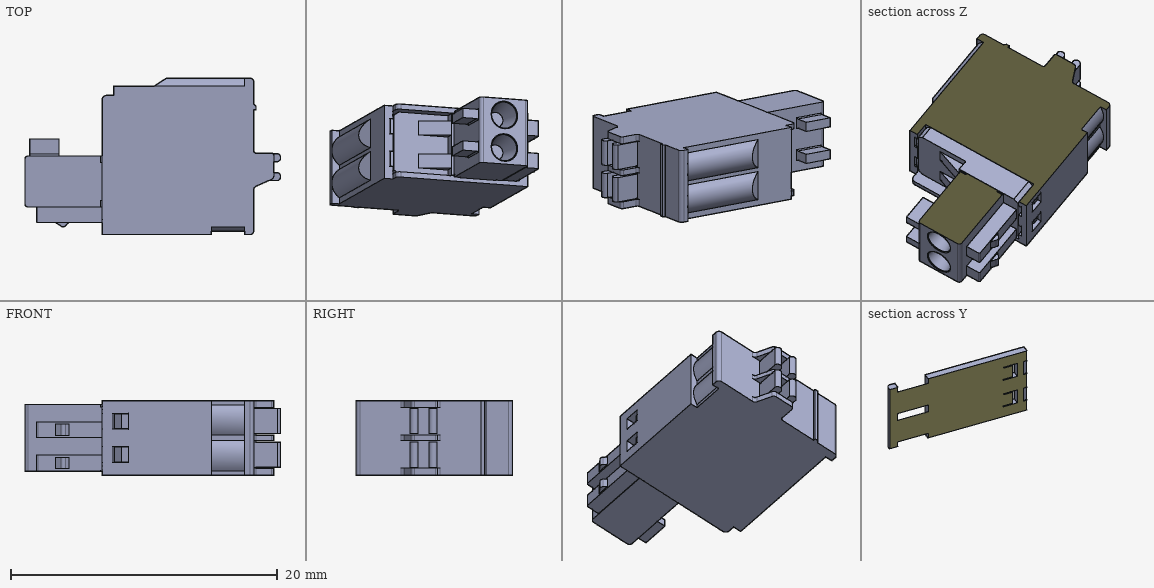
import cadquery as cq

LENGTH = 19.2
WIDTH = 11.75
HEIGHT = 5.6
POLE_PITCH = 2.5
MID_Z = HEIGHT / 2
POLE_Z = (MID_Z - POLE_PITCH / 2, MID_Z + POLE_PITCH / 2)

HOUSING_X0 = 5.8
HOUSING_X1 = 17.18
STEP_X = 6.66
STEP_Y = 10.46
WALL_TOP_Y = 11.15
FLANGE_X = 16.5
NOTCH_X = 14.0
NOTCH_Y = WIDTH - WALL_TOP_Y
STEP_RADIUS = 0.35
FLANGE_RADIUS = 0.29
RIDGE_FOOT_X = 9.7
RIDGE_CREST_X = 10.64
RIDGE_HALF_CHORD = 1.1
LOBE_HALF_CHORD = 1.13
LOBE_HEIGHT = 0.35
LOBE_PITCH = 2.67
NUB_Y0 = 9.37
NUB_Y1 = 9.77
NUB_HEIGHT = 0.17
NUB_CHAMFER = 0.13

CAVITY_DEPTH = 1.98
CAVITY_Y0 = 0.7
CAVITY_Z0 = 0.4
BODY_GAP = 0.08
BODY_Y0 = CAVITY_Y0 + BODY_GAP
BODY_Y1 = 10.37
BODY_Z0 = 0.45
BODY_STEP_Y = 6.09
BODY_CHAMFER_Y = 0.36
BODY_CHAMFER_Z = 0.25
WEDGE_Y = 8.4
WEDGE_WIDTH = 1.08
WEDGE_PITCH = 2.53

WINDOW_X0 = 6.6
WINDOW_X1 = HOUSING_X0 + CAVITY_DEPTH
WINDOW_WIDTH = 1.17
LEAD_IN_DEPTH = 0.23
CATCH_WIDTH = 1.1
CATCH_FOOT_X = 6.72
CATCH_CREST_X = 7.25
CATCH_CREST_Y = 0.3
TOP_SLOT_DEPTH = 0.25
TOP_SLOT_LENGTH = 0.58
TOP_CATCH_Y = 10.62
TOP_CATCH_SETBACK = 0.12

PLUG_Y0 = 2.07
PLUG_Y1 = 5.91
PLUG_HEIGHT = 5.03
PLUG_RADIUS = 0.25
PLUG_NOTCH = (0.12, 0.48, 0.21)
HOLE_RADIUS = 1.05
HOLE_CONE_RADIUS = 1.0
HOLE_END_RADIUS = 0.58
HOLE_DEPTH = 1.92
HOLE_LIP = HOLE_RADIUS - HOLE_CONE_RADIUS
LEVER_X0 = 0.36
LEVER_X1 = 2.57
LEVER_TOP_Y = 7.18
LEVER_WIDTH = 0.71
LEVER_FLARE_WIDTH = 0.85
LEVER_FLARE_HEIGHT = 0.15
ARM_X0 = 0.88
ARM_Y0 = 0.9
ARM_WIDTH = 1.17
ARM_DROP = 0.63
ARM_RADIUS = 0.12
BUMP_START = (2.3, ARM_Y0)
BUMP_ARC_START = (2.7, 0.65)
BUMP_CREST = (2.88, 0.58)
BUMP_ARC_END = (3.05, 0.67)
BUMP_END = (3.3, ARM_Y0)
BUMP_WIDTH = 0.85

RIB_X1 = 18.68
RIB_Y1 = 6.12
RIB_TIP_Y = 4.22
RIB_ROOT_Y = 3.55
RIB_RADIUS = 0.17
RIB_SLANT_RADIUS = 0.29
OUTER_RIB = 0.54
MIDDLE_RIB = 0.42
CONTACT_WIDTH = 1.9
CONTACT_PITCH = 2.53
CONTACT_Y = ((4.05, 4.67), (5.47, 6.09))
CONTACT_TIP_LENGTH = 0.23


def box(x0, x1, y0, y1, z0, z1):
    return cq.Workplane("XY").box(x1 - x0, y1 - y0, z1 - z0, centered=False).translate((x0, y0, z0))


def slab(points, z0, z1):
    """Extrude an XY outline from z0 to z1."""
    return cq.Workplane("XY").workplane(offset=z0).polyline(points).close().extrude(z1 - z0)


def bar(points, mid_z, width):
    """Extrude an XY outline symmetrically about mid_z."""
    return slab(points, mid_z - width / 2, mid_z + width / 2)


def cylinder_cap(x0, x1, base_y, crest_y, half_chord, mid_z):
    """Segment of a cylinder along X, standing on the plane y = base_y."""
    return (
        cq.Workplane("YZ").workplane(offset=x0)
        .moveTo(base_y, mid_z - half_chord)
        .threePointArc((crest_y, mid_z), (base_y, mid_z + half_chord))
        .close().extrude(x1 - x0)
    )


def make_housing():
    outline = [
        (HOUSING_X0, 0), (NOTCH_X, 0), (NOTCH_X, NOTCH_Y), (FLANGE_X, NOTCH_Y), (FLANGE_X, 0),
        (HOUSING_X1, 0), (HOUSING_X1, WIDTH), (FLANGE_X, WIDTH), (FLANGE_X, WALL_TOP_Y),
        (STEP_X, WALL_TOP_Y), (STEP_X, STEP_Y), (HOUSING_X0, STEP_Y),
    ]
    housing = slab(outline, 0, HEIGHT)
    for y in (0, WIDTH):
        corner = cq.selectors.NearestToPointSelector((HOUSING_X1, y, MID_Z))
        housing = housing.edges(corner).fillet(FLANGE_RADIUS)
    step_corner = cq.selectors.NearestToPointSelector((HOUSING_X0, STEP_Y, MID_Z))
    housing = housing.edges(step_corner).fillet(STEP_RADIUS)

    nub_x = HOUSING_X1 + NUB_HEIGHT
    nub = [
        (HOUSING_X1, NUB_Y0), (nub_x, NUB_Y0), (nub_x, NUB_Y1 - NUB_CHAMFER),
        (nub_x - NUB_CHAMFER, NUB_Y1), (HOUSING_X1, NUB_Y1),
    ]
    return housing.union(slab(nub, 0, HEIGHT))


def make_ridge(mid_z):
    """Rounded ridge on the +Y wall with a slanted front end."""
    ridge = cylinder_cap(RIDGE_FOOT_X, FLANGE_X, WALL_TOP_Y, WIDTH, RIDGE_HALF_CHORD, mid_z)
    slant = [(RIDGE_FOOT_X, WALL_TOP_Y), (RIDGE_CREST_X, WIDTH), (RIDGE_FOOT_X, WIDTH)]
    return ridge.cut(slab(slant, 0, HEIGHT))


def make_lobe(mid_z):
    """Shallow rounded lobe in the notch of the -Y wall."""
    return cylinder_cap(NOTCH_X, FLANGE_X, NOTCH_Y, NOTCH_Y - LOBE_HEIGHT, LOBE_HALF_CHORD, mid_z)


def make_cavity():
    return box(HOUSING_X0, WINDOW_X1, CAVITY_Y0, STEP_Y, CAVITY_Z0, HEIGHT - CAVITY_Z0)


def make_body():
    """Chamfered insert filling the cavity, set back on its +Y half."""
    z1 = HEIGHT - BODY_Z0
    section = [
        (BODY_Y0 + BODY_CHAMFER_Y, BODY_Z0), (BODY_Y1 - BODY_CHAMFER_Y, BODY_Z0),
        (BODY_Y1, BODY_Z0 + BODY_CHAMFER_Z), (BODY_Y1, z1 - BODY_CHAMFER_Z),
        (BODY_Y1 - BODY_CHAMFER_Y, z1), (BODY_Y0 + BODY_CHAMFER_Y, z1),
        (BODY_Y0, z1 - BODY_CHAMFER_Z), (BODY_Y0, BODY_Z0 + BODY_CHAMFER_Z),
    ]
    body = (
        cq.Workplane("YZ").workplane(offset=HOUSING_X0)
        .polyline(section).close().extrude(CAVITY_DEPTH)
    )
    body = body.cut(box(HOUSING_X0, STEP_X, BODY_STEP_Y, WIDTH, 0, HEIGHT))
    wedge = [(STEP_X, WEDGE_Y), (HOUSING_X0, BODY_STEP_Y), (STEP_X, BODY_STEP_Y)]
    for side in (-1, 1):
        body = body.union(bar(wedge, MID_Z + side * WEDGE_PITCH / 2, WEDGE_WIDTH))
    return body


def make_latch_opening(mid_z):
    """Window through the -Y wall and the slanted lead-in from the front end."""
    outline = [
        (HOUSING_X0, CAVITY_Y0 - LEAD_IN_DEPTH), (WINDOW_X0, CAVITY_Y0), (WINDOW_X0, 0),
        (WINDOW_X1, 0), (WINDOW_X1, CAVITY_Y0 + BODY_GAP), (HOUSING_X0, CAVITY_Y0 + BODY_GAP),
    ]
    return bar(outline, mid_z, WINDOW_WIDTH)


def make_top_slot(mid_z):
    """Slot in the +Y wall, open at the front step."""
    half = WINDOW_WIDTH / 2
    end_x = STEP_X + TOP_SLOT_LENGTH
    return box(STEP_X, end_x, STEP_Y, STEP_Y + TOP_SLOT_DEPTH, mid_z - half, mid_z + half)


def make_top_catch(mid_z):
    """Block on the +Y side of the body that reaches into the slot above it."""
    half = WINDOW_WIDTH / 2
    x0 = STEP_X + TOP_CATCH_SETBACK
    x1 = STEP_X + TOP_SLOT_LENGTH
    return box(x0, x1, BODY_Y1, TOP_CATCH_Y, mid_z - half, mid_z + half)


def make_catch(mid_z):
    """Ramped catch on the body that fills the latch window."""
    outline = [
        (CATCH_FOOT_X, BODY_Y0), (CATCH_CREST_X, CATCH_CREST_Y),
        (WINDOW_X1, CATCH_CREST_Y), (WINDOW_X1, BODY_Y0),
    ]
    return bar(outline, mid_z, CATCH_WIDTH)


def make_plug():
    z0 = MID_Z - PLUG_HEIGHT / 2
    z1 = MID_Z + PLUG_HEIGHT / 2
    plug = box(0, HOUSING_X0, PLUG_Y0, PLUG_Y1, z0, z1).edges("|Z and <X").fillet(PLUG_RADIUS)
    notch_x, notch_y, notch_z = PLUG_NOTCH
    for y in (PLUG_Y0, PLUG_Y1 - notch_y):
        for z in (z0, z1 - notch_z):
            plug = plug.cut(box(HOUSING_X0 - notch_x, HOUSING_X0, y, y + notch_y, z, z + notch_z))
    return plug


def make_wire_hole(mid_z):
    """Funnel hole with a small lip chamfer, bored along X from the plug face."""
    mid_y = (PLUG_Y0 + PLUG_Y1) / 2
    profile = [
        (0, 0), (0, HOLE_RADIUS), (HOLE_LIP, HOLE_CONE_RADIUS),
        (HOLE_DEPTH, HOLE_END_RADIUS), (HOLE_DEPTH, 0),
    ]
    hole = cq.Workplane("XY").polyline(profile).close().revolve(360, (0, 0), (1, 0))
    return hole.translate((0, mid_y, mid_z))


def make_lever(mid_z):
    """Release lever on the +Y side of the plug, flared at its root."""
    half = LEVER_WIDTH / 2
    flare = LEVER_FLARE_WIDTH / 2
    flare_y = PLUG_Y1 + LEVER_FLARE_HEIGHT
    section = [
        (PLUG_Y1, mid_z - flare), (flare_y, mid_z - half), (LEVER_TOP_Y, mid_z - half),
        (LEVER_TOP_Y, mid_z + half), (flare_y, mid_z + half), (PLUG_Y1, mid_z + flare),
    ]
    lever = cq.Workplane("YZ").workplane(offset=LEVER_X0).polyline(section).close()
    return lever.extrude(LEVER_X1 - LEVER_X0)


def make_arm(pole_z):
    """Latch arm on the -Y side of the plug with a small bump."""
    mid_z = pole_z - ARM_DROP
    arm = box(ARM_X0, HOUSING_X0, ARM_Y0, PLUG_Y0, mid_z - ARM_WIDTH / 2, mid_z + ARM_WIDTH / 2)
    arm = arm.edges("|Z and <X and <Y").fillet(ARM_RADIUS)
    bump = (
        cq.Workplane("XY").workplane(offset=mid_z - BUMP_WIDTH / 2)
        .moveTo(*BUMP_START).lineTo(*BUMP_ARC_START)
        .threePointArc(BUMP_CREST, BUMP_ARC_END).lineTo(*BUMP_END)
        .close().extrude(BUMP_WIDTH)
    )
    return arm.union(bump)


def make_rib(z0, z1):
    """Rear guard rib, rounded at its tip and at its roots."""
    foot_x = HOUSING_X1 - RIB_RADIUS
    foot_y0 = RIB_ROOT_Y - RIB_SLANT_RADIUS
    foot_y1 = RIB_Y1 + 2 * RIB_RADIUS
    root_corner = (HOUSING_X1, RIB_ROOT_Y)
    slant_tip = (RIB_X1, RIB_TIP_Y)
    square_tip = (RIB_X1, RIB_Y1)
    square_root = (HOUSING_X1, RIB_Y1)
    rib = slab(
        [
            (foot_x, foot_y0), (HOUSING_X1, foot_y0), root_corner, slant_tip,
            square_tip, square_root, (HOUSING_X1, foot_y1), (foot_x, foot_y1),
        ],
        z0, z1,
    )
    roundings = (
        (root_corner, RIB_SLANT_RADIUS), (slant_tip, RIB_SLANT_RADIUS),
        (square_tip, RIB_RADIUS), (square_root, RIB_RADIUS),
    )
    for (x, y), radius in roundings:
        corner = cq.selectors.NearestToPointSelector((x, y, (z0 + z1) / 2))
        rib = rib.edges(corner).fillet(radius)
    return rib


def make_contact(y0, y1, mid_z):
    """Flat contact leg with an arched tip."""
    arc_x = LENGTH - CONTACT_TIP_LENGTH
    return (
        cq.Workplane("XY").workplane(offset=mid_z - CONTACT_WIDTH / 2)
        .moveTo(HOUSING_X1, y0).lineTo(arc_x, y0)
        .threePointArc((LENGTH, (y0 + y1) / 2), (arc_x, y1)).lineTo(HOUSING_X1, y1)
        .close().extrude(CONTACT_WIDTH)
    )


result = make_housing().cut(make_cavity())
for pole_z in POLE_Z:
    result = result.cut(make_latch_opening(pole_z)).cut(make_top_slot(pole_z))
result = result.union(make_body()).union(make_plug())
for pole_z in POLE_Z:
    result = result.union(make_ridge(pole_z)).union(make_catch(pole_z))
    result = result.union(make_top_catch(pole_z))
    result = result.union(make_lever(pole_z)).union(make_arm(pole_z))
    result = result.cut(make_wire_hole(pole_z))
for side in (-1, 1):
    result = result.union(make_lobe(MID_Z + side * LOBE_PITCH / 2))
    for y0, y1 in CONTACT_Y:
        result = result.union(make_contact(y0, y1, MID_Z + side * CONTACT_PITCH / 2))
RIB_SPANS = (
    (0, OUTER_RIB),
    (MID_Z - MIDDLE_RIB / 2, MID_Z + MIDDLE_RIB / 2),
    (HEIGHT - OUTER_RIB, HEIGHT),
)
for z0, z1 in RIB_SPANS:
    result = result.union(make_rib(z0, z1))